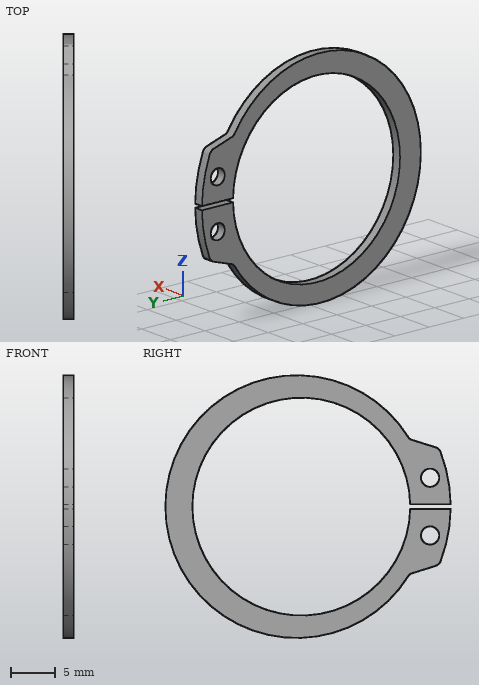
import cadquery as cq
import math

thickness = 1.2
outer_diameter = 29.3
bore_diameter = 24.23
bore_offset = 0.5
overall_length = 31.8
gap_width = 0.48

hole_diameter = 2.0
hole_y = 14.35
hole_spacing = 6.42
corner_y = 15.35
corner_z = 6.5
flank_root_y = 12.05
corner_radius = 0.95
root_radius = 0.65

outer_radius = outer_diameter / 2
tip_y = overall_length - outer_radius - bore_offset
flank_root_z = math.sqrt(outer_radius**2 - (flank_root_y + bore_offset) ** 2)

tip_drop = tip_y - corner_y
tip_radius = (corner_z**2 + tip_drop**2) / (2 * tip_drop)


def disc(diameter, y=0.0, z=0.0):
    """Solid disc of the ring's thickness with its axis along X."""
    return cq.Workplane("YZ").center(y, z).circle(diameter / 2).extrude(thickness / 2, both=True)


def make_lugs():
    """Both lugs as one plate that reaches into the bore area."""
    return (
        cq.Workplane("YZ")
        .moveTo(0, -flank_root_z)
        .lineTo(flank_root_y, -flank_root_z)
        .lineTo(corner_y, -corner_z)
        .radiusArc((corner_y, corner_z), -tip_radius)
        .lineTo(flank_root_y, flank_root_z)
        .lineTo(0, flank_root_z)
        .close()
        .extrude(thickness / 2, both=True)
    )


def edges_near(y, z):
    """Selector box around the X-parallel edge at (y, z) and its mirror image."""
    reach = 0.15
    upper = cq.selectors.BoxSelector(
        (-thickness, y - reach, z - reach), (thickness, y + reach, z + reach))
    lower = cq.selectors.BoxSelector(
        (-thickness, y - reach, -z - reach), (thickness, y + reach, -z + reach))
    return cq.selectors.ParallelDirSelector(cq.Vector(1, 0, 0)) & (upper + lower)


result = disc(outer_diameter, y=-bore_offset).union(make_lugs())
result = result.edges(edges_near(corner_y, corner_z)).fillet(corner_radius)
result = result.edges(edges_near(flank_root_y, flank_root_z)).fillet(root_radius)

result = result.cut(disc(bore_diameter))

gap = cq.Workplane("XY").box(
    thickness, tip_y, gap_width, centered=(True, False, True))
result = result.cut(gap)

for side in (-1, 1):
    result = result.cut(disc(hole_diameter, y=hole_y, z=side * hole_spacing / 2))